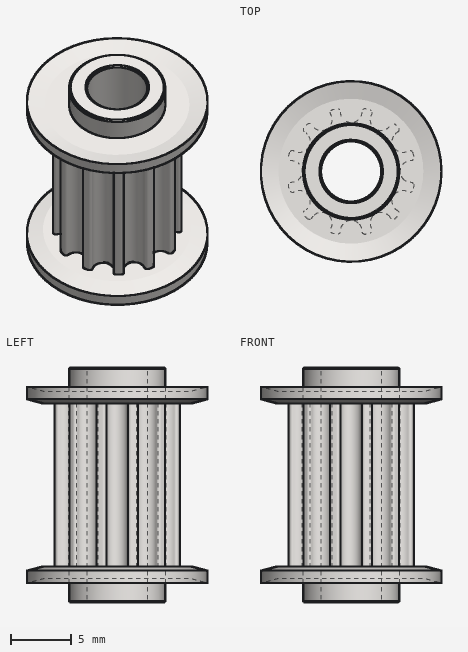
import cadquery as cq
import math

total_length = 19.5
hub_protrusion = 2.0
flange_thickness = 1.0
tooth_length = total_length - 2 * (hub_protrusion + flange_thickness)

hub_radius = 4.0
bore_radius = 2.5
edge_chamfer = 0.14

tooth_count = 12
tooth_tip_radius = 5.35
groove_radius = 0.9
groove_root_radius = 4.05
tooth_tip_fillet = 0.25

flange_diameter = 15.0
flange_radius = flange_diameter / 2
dish_radius = 6.0
dish_angle = math.radians(15)


def make_groove_cutter(angle):
    """Round-bottomed straight-sided bar lying along one tooth groove."""
    groove_centre = groove_root_radius + groove_radius
    open_end = tooth_tip_radius + groove_radius
    return (
        cq.Workplane("XY")
        .workplane(offset=-tooth_length / 2)
        .moveTo(open_end, -groove_radius)
        .lineTo(groove_centre, -groove_radius)
        .threePointArc((groove_root_radius, 0), (groove_centre, groove_radius))
        .lineTo(open_end, groove_radius)
        .close()
        .extrude(tooth_length)
        .rotate((0, 0, 0), (0, 0, 1), angle)
    )


def is_on_tip_cylinder(edge):
    """True for a vertical edge where a groove flank meets the outside of the barrel."""
    middle = edge.Center()
    return math.isclose(math.hypot(middle.x, middle.y), tooth_tip_radius, rel_tol=1e-6)


def make_toothed_barrel():
    """Cylinder with grooves, the first one centred on +X, and rounded tooth tips."""
    barrel = cq.Workplane("XY").circle(tooth_tip_radius).extrude(tooth_length / 2, both=True)
    for index in range(tooth_count):
        barrel = barrel.cut(make_groove_cutter(index * 360 / tooth_count))
    tip_edges = [edge for edge in barrel.edges("|Z").vals() if is_on_tip_cylinder(edge)]
    return barrel.newObject(tip_edges).fillet(tooth_tip_fillet)


def make_pulley():
    """Toothed barrel with a hub at each end and a bore right through."""
    hubs = cq.Workplane("XY").circle(hub_radius).extrude(total_length / 2, both=True)
    bore = cq.Workplane("XY").circle(bore_radius).extrude(total_length / 2, both=True)
    pulley_body = make_toothed_barrel().union(hubs).cut(bore)
    return pulley_body.faces("<Z or >Z").chamfer(edge_chamfer)


def make_flange():
    """Upper flange: a washer of even thickness whose rim slopes away from the teeth."""
    inner_face = tooth_length / 2
    outer_face = inner_face + flange_thickness
    slope = math.tan(dish_angle)
    inner_bend_radius = dish_radius + flange_thickness * math.tan(dish_angle / 2)
    rim_bottom = inner_face + (flange_radius - inner_bend_radius) * slope
    rim_top = outer_face + (flange_radius - dish_radius) * slope
    profile = [
        (hub_radius, inner_face),
        (inner_bend_radius, inner_face),
        (flange_radius, rim_bottom),
        (flange_radius, rim_top),
        (dish_radius, outer_face),
        (hub_radius, outer_face),
    ]
    return cq.Workplane("XZ").polyline(profile).close().revolve(360, (0, 0), (0, 1))


pulley = make_pulley()
flanges = []
for tilt in (0, 180):
    flanges.append(make_flange().rotate((0, 0, 0), (1, 0, 0), tilt).val())

result = cq.Compound.makeCompound([*pulley.solids().vals(), *flanges])